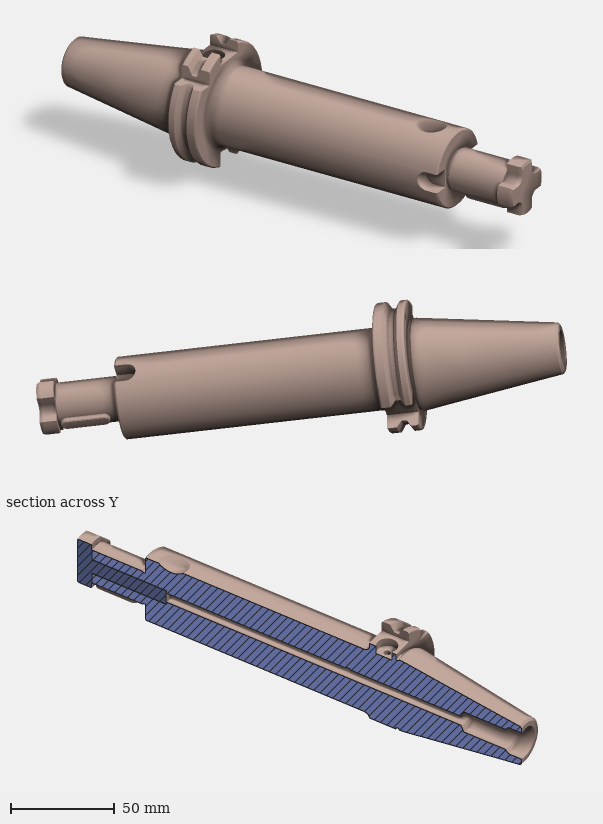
import cadquery as cq
import math

total_length = 255.5

taper_ratio = 7 / 24
gauge_x = 69.0
gauge_radius = 22.5
taper_tip_radius = gauge_radius - gauge_x * taper_ratio / 2
tip_chamfer = 1.0
gauge_land = 1.3
neck_radius = 21.7

flange_x = 72.0
flange_width = 15.5
flange_radius = 31.7
flange_fillet = 1.0
flange_end_x = flange_x + flange_width
groove_x = 79.2
groove_half_width = 3.5
groove_depth = 3.5
groove_floor_half_width = 1.3
drive_slot_width = 16.0
upper_slot_floor = 24.8
lower_slot_floor = 22.5
notch_wall = 18.5
notch_floor = 18.5

chip_radius = 5.4
chip_depth = 4.5
chip_pilot_radius = 1.8
chip_pilot_depth = 2.5

coolant_radius = 2.0
coolant_pitch_radius = 27.3
coolant_position_angle = 20
coolant_tilt = 40

body_diameter = 40.0
body_radius = body_diameter / 2
body_end_x = 216.3
body_end_chamfer = 0.8
root_fillet = 3.0
key_slot_width = 10.0
key_slot_length = 10.7
key_slot_floor = 11.7
dimple_x = 201.5
dimple_sphere_radius = 11.2
dimple_depth = 3.3

spigot_radius = 11.0
spigot_end_x = 247.0
spigot_chamfer = 0.5
relief_length = 1.0

mouth_radius = 8.7
mouth_depth = 7.7
thread_radius = 7.0
thread_depth = 33.2
drill_point_angle = 118
coolant_bore_radius = 4.0

key_width = 6.1
key_start_x = 221.5
key_length = 24.3
key_top = 13.0
key_height = 5.0
key_chamfer = 0.5

screw_radius = 5.0
screw_tip_x = 204.3
head_radius = 14.0
lug_width = 10.0
lug_count = 4
head_corner_radius = 3.3
head_chamfer_length = 1.5
head_chamfer_depth = 0.5


def rod(radius, start_x, end_x):
    """Cylinder along the X axis."""
    return cq.Workplane("YZ").workplane(offset=start_x).circle(radius).extrude(end_x - start_x)


def block(x_range, y_range, z_range):
    """Box given by its limits along each axis."""
    corner_min, corner_max = zip(x_range, y_range, z_range)
    size = [high - low for low, high in zip(corner_min, corner_max)]
    return cq.Workplane("XY").box(*size, centered=False).translate(corner_min)


def revolve_profile(points):
    """Turn a closed (x, radius) profile about the X axis."""
    return cq.Workplane("XY").polyline(points).close().revolve(360, (0, 0, 0), (1, 0, 0))


def taper_shank():
    return revolve_profile([
        (0, 0),
        (0, taper_tip_radius - tip_chamfer),
        (tip_chamfer, taper_tip_radius + tip_chamfer * taper_ratio / 2),
        (gauge_x, gauge_radius),
        (gauge_x + gauge_land, gauge_radius),
        (gauge_x + gauge_land + gauge_radius - neck_radius, neck_radius),
        (flange_x, neck_radius),
        (flange_x, 0),
    ])


def flange_blank():
    disc = rod(flange_radius, flange_x, flange_end_x).edges().fillet(flange_fillet)
    groove_floor_radius = flange_radius - groove_depth
    groove = revolve_profile([
        (groove_x - groove_half_width, flange_radius),
        (groove_x - groove_floor_half_width, groove_floor_radius),
        (groove_x + groove_floor_half_width, groove_floor_radius),
        (groove_x + groove_half_width, flange_radius),
    ])
    return disc.cut(groove)


def flange_slots():
    """Two drive slots and the corner notch, cut across the flange width."""
    x_range = (flange_x, flange_end_x)
    half_width = drive_slot_width / 2
    upper = block(x_range, (-half_width, half_width), (upper_slot_floor, flange_radius))
    lower = block(x_range, (-half_width, half_width), (-flange_radius, -lower_slot_floor))
    notch = block(x_range, (-flange_radius, -notch_wall), (notch_floor, flange_radius))
    return upper.union(lower).union(notch)


def chip_recess():
    floor = cq.Workplane("XY").workplane(offset=upper_slot_floor).center(groove_x, 0)
    recess = floor.circle(chip_radius).extrude(-chip_depth)
    pilot = floor.circle(chip_pilot_radius).extrude(-chip_depth - chip_pilot_depth)
    return recess.union(pilot)


def coolant_hole(position_angle):
    """Drilled from the flange face to the axis; the position angle is measured from +Y."""
    tilt = math.radians(coolant_tilt)
    direction = cq.Vector(math.cos(tilt), -math.sin(tilt), 0)
    entry = cq.Vector(flange_x, coolant_pitch_radius, 0)
    depth_to_axis = coolant_pitch_radius / math.sin(tilt)
    overrun = coolant_radius * math.tan(tilt)
    start = entry - direction * overrun
    drill = cq.Solid.makeCylinder(coolant_radius, depth_to_axis + overrun, start, direction)
    return cq.Workplane(drill).rotate((0, 0, 0), (1, 0, 0), position_angle)


def body_shaft():
    shaft = rod(body_radius, flange_end_x, body_end_x).faces(">X").chamfer(body_end_chamfer)
    root = (
        cq.Workplane("XY")
        .moveTo(flange_end_x, 0)
        .lineTo(flange_end_x, body_radius + root_fillet)
        .radiusArc((flange_end_x + root_fillet, body_radius), -root_fillet)
        .lineTo(flange_end_x + root_fillet, 0)
        .close()
        .revolve(360, (0, 0, 0), (1, 0, 0))
    )
    return shaft.union(root)


def key_slots():
    """Round-ended driving slots in the end face, one on each side in Y."""
    half_width = key_slot_width / 2
    round_x = body_end_x - key_slot_length + half_width
    outline = (
        cq.Workplane("XZ")
        .moveTo(body_end_x, half_width)
        .lineTo(round_x, half_width)
        .threePointArc((round_x - half_width, 0), (round_x, -half_width))
        .lineTo(body_end_x, -half_width)
        .close()
        .extrude(body_radius - key_slot_floor)
    )
    front = outline.translate((0, -key_slot_floor, 0))
    return front.union(front.mirror("XZ"))


def dimple():
    center_z = body_radius - dimple_depth + dimple_sphere_radius
    return cq.Workplane("XY").sphere(dimple_sphere_radius).translate((dimple_x, 0, center_z))


def spigot():
    relief = rod(spigot_radius - spigot_chamfer, body_end_x, body_end_x + relief_length)
    land = rod(spigot_radius, body_end_x + relief_length, spigot_end_x)
    return relief.union(land.edges().chamfer(spigot_chamfer))


def axial_bores():
    """Draw-bolt bore from the taper end, then a coolant bore reaching the screw hole."""
    point_length = (thread_radius - coolant_bore_radius) / math.tan(math.radians(drill_point_angle / 2))
    from_taper = revolve_profile([
        (0, 0),
        (0, mouth_radius),
        (mouth_depth, mouth_radius),
        (mouth_depth + mouth_radius - thread_radius, thread_radius),
        (thread_depth, thread_radius),
        (thread_depth + point_length, coolant_bore_radius),
        (screw_tip_x, coolant_bore_radius),
        (screw_tip_x, 0),
    ])
    return from_taper.union(rod(screw_radius, screw_tip_x, spigot_end_x))


def make_holder(feather_key):
    holder = taper_shank().union(flange_blank().cut(flange_slots()))
    holder = holder.union(body_shaft()).union(spigot())
    holder = holder.cut(chip_recess())
    for position_angle in (coolant_position_angle, coolant_position_angle + 180):
        holder = holder.cut(coolant_hole(position_angle))
    holder = holder.cut(key_slots()).cut(dimple()).cut(axial_bores())
    return holder.cut(feather_key)


def make_feather_key():
    """Round-ended key standing out of the underside of the spigot."""
    return (
        cq.Workplane("XY")
        .workplane(offset=-key_top)
        .center(key_start_x + key_length / 2, 0)
        .slot2D(key_length, key_width)
        .extrude(key_height)
        .faces("<Z")
        .chamfer(key_chamfer)
    )


def make_clamping_screw():
    """Screw whose head has lugs separated by round-cornered gaps."""
    head = rod(head_radius, spigot_end_x, total_length)
    gap_start = lug_width / 2
    gap = (
        block((spigot_end_x, total_length), (gap_start, head_radius), (gap_start, head_radius))
        .edges("|X and <Y and <Z")
        .fillet(head_corner_radius)
    )
    for index in range(lug_count):
        head = head.cut(gap.rotate((0, 0, 0), (1, 0, 0), index * 360 / lug_count))
    head = head.faces(">X").chamfer(head_chamfer_depth, head_chamfer_length)
    return head.union(rod(screw_radius, screw_tip_x, spigot_end_x))


feather_key = make_feather_key()
holder = make_holder(feather_key)
clamping_screw = make_clamping_screw()

result = cq.Compound.makeCompound([holder.val(), feather_key.val(), clamping_screw.val()])